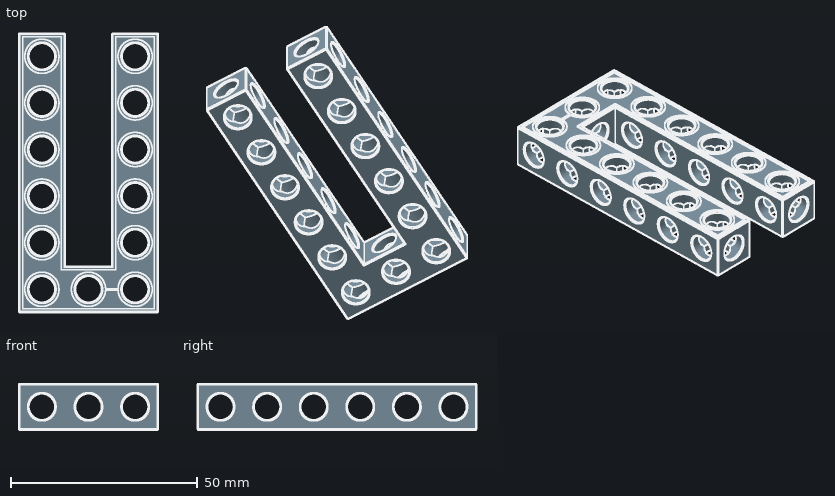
import cadquery as cq

pitch = 12.5
cells_x = 3
cells_y = 6
hole_diameter = 7.0
hole_chamfer = 0.3
edge_chamfer = 0.3
rim_width = 0.75
collar_diameter = 9.2
recess_depth = 0.2
bridge_width = 0.4

width = cells_x * pitch
length = cells_y * pitch
height = pitch
slot_width = (cells_x - 2) * pitch
slot_length = (cells_y - 1) * pitch
recess_inset = edge_chamfer + rim_width

columns = [(i - (cells_x - 1) / 2) * pitch for i in range(cells_x)]
rows = [(i - (cells_y - 1) / 2) * pitch for i in range(cells_y)]
base_row = rows[0]
arm_columns = [columns[0], columns[-1]]
cell_centres = [(x, base_row) for x in columns]
cell_centres += [(x, y) for x in arm_columns for y in rows[1:]]


def u_prism(inset, bottom, depth):
    """U-shaped prism whose outline lies the given inset inside the part's outline."""
    outer_x = width / 2 - inset
    outer_y = length / 2 - inset
    inner_x = slot_width / 2 + inset
    slot_floor_y = length / 2 - slot_length - inset
    outline = [
        (-outer_x, -outer_y),
        (outer_x, -outer_y),
        (outer_x, outer_y),
        (inner_x, outer_y),
        (inner_x, slot_floor_y),
        (-inner_x, slot_floor_y),
        (-inner_x, outer_y),
        (-outer_x, outer_y),
    ]
    return cq.Workplane("XY").workplane(offset=bottom).polyline(outline).close().extrude(depth)


def make_body():
    """U-shaped block with every edge chamfered except the two inside corners of the slot."""
    block = u_prism(0, -height / 2, height)
    outer_uprights = block.edges("|Z").edges("<Y or >Y")
    return block.edges("not |Z").add(outer_uprights).chamfer(edge_chamfer)


def make_top_recess():
    """Shallow pocket inside the top rim that leaves a collar around every hole and one bridge."""
    bottom = height / 2 - recess_depth
    collars = (
        cq.Workplane("XY")
        .workplane(offset=bottom)
        .pushPoints(cell_centres)
        .circle(collar_diameter / 2)
        .extrude(recess_depth)
    )
    bridge = (
        cq.Workplane("XY")
        .workplane(offset=bottom)
        .center((columns[-2] + columns[-1]) / 2, base_row)
        .rect(pitch - collar_diameter / 2, bridge_width)
        .extrude(recess_depth)
    )
    return u_prism(recess_inset, bottom, recess_depth).cut(collars).cut(bridge)


def make_bore(depth):
    """Hole along Z, centred on the origin, widened by a chamfer at both ends."""
    radius = hole_diameter / 2
    half = depth / 2
    profile = [
        (0, -half),
        (radius + hole_chamfer, -half),
        (radius, -half + hole_chamfer),
        (radius, half - hole_chamfer),
        (radius + hole_chamfer, half),
        (0, half),
    ]
    return cq.Workplane("XZ").polyline(profile).close().revolve(360, (0, 0), (0, 1))


def cut_vertical_bores(part):
    """Hole along Z through every cell."""
    bore = make_bore(height)
    for x, y in cell_centres:
        part = part.cut(bore.translate((x, y, 0)))
    return part


def cut_cross_bores(part):
    """Holes along X: one through each arm cell and one through the whole base."""
    turn = ((0, 0, 0), (0, 1, 0), 90)
    arm_bore = make_bore(pitch).rotate(*turn)
    base_bore = make_bore(width).rotate(*turn)
    for x in arm_columns:
        for y in rows[1:]:
            part = part.cut(arm_bore.translate((x, y, 0)))
    return part.cut(base_bore.translate((0, base_row, 0)))


def cut_lengthwise_bores(part):
    """Holes along Y: one through each arm and one through the base into the slot."""
    turn = ((0, 0, 0), (1, 0, 0), 90)
    arm_bore = make_bore(length).rotate(*turn)
    base_bore = make_bore(pitch).rotate(*turn)
    for x in arm_columns:
        part = part.cut(arm_bore.translate((x, 0, 0)))
    return part.cut(base_bore.translate((0, base_row, 0)))


result = make_body().cut(make_top_recess())
result = cut_vertical_bores(result)
result = cut_cross_bores(result)
result = cut_lengthwise_bores(result)